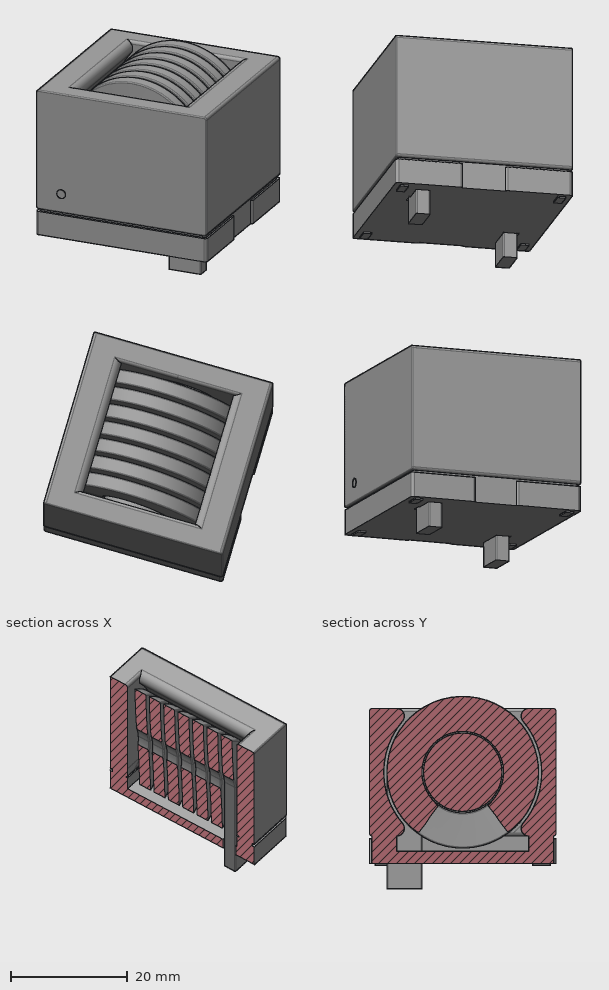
import cadquery as cq
import math


length_x = 32.0
length_y = 31.2

base_bottom_z = 4.3
base_top_z = 8.58
case_bottom_z = 9.0
case_top_z = 30.95
coil_axis_z = (case_bottom_z + case_top_z) / 2

case_edge_radius = 0.5
case_face_radius = 0.2
cavity_length = 23.5
lip_radius_x = 1.35
lip_radius_y = 0.55
cavity_radius = 13.53
marker_diameter = 1.62
marker_x = -11.32
marker_z = 12.45
marker_depth = 0.1

core_diameter = 13.5
coil_top_z = 33.0
coil_radius = coil_top_z - coil_axis_z
wire_width = 6.05
wire_thickness = 2.48
wire_corner_radius = 0.2
half_turns = 13
lead_spacing_y = 20.15
wire_centre_radius = coil_radius - wire_width / 2

base_corner_radius = 0.5
neck_inset_x = 0.35
neck_inset_y = 0.5
neck_corner_radius = 0.35
notch_width = 7.62
notch_edge_radius = 0.33

foot_x = 3.05
foot_y = 1.45
foot_height = 0.25
foot_spacing_x = 27.0
foot_spacing_y = 27.72

pocket_width = 22.57
slot_width = 2.0
slot_clearance = 0.23


def block(size_x, size_y, bottom_z, top_z):
    """Box centred on the Z axis between two levels."""
    height = top_z - bottom_z
    return cq.Workplane("XY", origin=(0, 0, bottom_z)).box(size_x, size_y, height, (True, True, False))


def cylinder_along_y(radius, span):
    """Cylinder on the coil axis, centred on Y."""
    return cq.Workplane("XZ", origin=(0, 0, coil_axis_z)).circle(radius).extrude(span / 2, both=True)


def lip_rounds(centre_half, radius, span, plane):
    """Pair of cylinders along the lips of two facing sides, touching the case top."""
    centre_z = case_top_z - radius
    return (
        cq.Workplane(plane)
        .pushPoints([(-centre_half, centre_z), (centre_half, centre_z)])
        .circle(radius)
        .extrude(span / 2, both=True)
    )


def make_opening():
    """Cutter for the top opening, with convex rounds on all four sides."""
    centre_height = case_top_z - lip_radius_x - coil_axis_z
    touch_radius = cavity_radius + lip_radius_x
    centre_x = math.sqrt(touch_radius**2 - centre_height**2)
    touch_ratio = cavity_radius / touch_radius
    touch_z = coil_axis_z + centre_height * touch_ratio
    centre_y = cavity_length / 2 + lip_radius_y

    touch_x = centre_x * touch_ratio
    round_level_z = case_top_z - lip_radius_x

    flare_x = (
        cq.Workplane("XZ")
        .moveTo(-touch_x, touch_z)
        .lineTo(touch_x, touch_z)
        .lineTo(centre_x, round_level_z)
        .lineTo(centre_x, case_top_z)
        .lineTo(-centre_x, case_top_z)
        .lineTo(-centre_x, round_level_z)
        .close()
        .extrude(length_y / 2, both=True)
        .cut(lip_rounds(centre_x, lip_radius_x, length_y, "XZ"))
    )

    flare_y = block(length_x, cavity_length, touch_z, case_top_z)
    flare_y = flare_y.union(block(length_x, 2 * centre_y, case_top_z - lip_radius_y, case_top_z))
    flare_y = flare_y.cut(lip_rounds(centre_y, lip_radius_y, length_x, "YZ"))

    return flare_x.intersect(flare_y)


def make_case():
    case = block(length_x, length_y, case_bottom_z, case_top_z)
    case = case.edges("|Y").fillet(case_edge_radius)
    case = case.faces("<Y or >Y").edges().fillet(case_face_radius)

    case = case.cut(cylinder_along_y(cavity_radius, cavity_length))
    opening = make_opening()
    case = case.cut(opening)
    case = case.cut(opening.mirror("XY", (0, 0, coil_axis_z)))

    marker = (
        cq.Workplane("XZ", origin=(marker_x, -length_y / 2, marker_z))
        .circle(marker_diameter / 2)
        .extrude(-marker_depth)
    )
    return case.cut(marker)


def make_wire_section():
    """Flat wire cross-section with rounded corners."""
    return cq.Sketch().rect(wire_width, wire_thickness).vertices().fillet(wire_corner_radius)


def make_half_turns():
    """Consecutive half turns of the winding, from the +Y end to the -Y end."""
    half_pitch = lead_spacing_y / half_turns
    path = cq.Wire.makeHelix(2 * half_pitch, half_pitch, wire_centre_radius, lefthand=True)
    half_turn = (
        cq.Workplane("XZ", origin=(wire_centre_radius, 0, 0))
        .placeSketch(make_wire_section())
        .sweep(cq.Workplane(path), isFrenet=True)
    )

    start = cq.Location(
        cq.Plane(origin=(0, lead_spacing_y / 2, coil_axis_z), xDir=(-1, 0, 0), normal=(0, -1, 0))
    )
    placed = []
    for index in range(half_turns):
        step = cq.Location(cq.Vector(0, 0, index * half_pitch), cq.Vector(0, 0, 1), 180 * index)
        placed.append(cq.Workplane(half_turn.val().moved(start * step)))
    return placed


def make_lead(side):
    """Straight wire end that runs down from the winding on the given X side."""
    return (
        cq.Workplane("XY", origin=(side * wire_centre_radius, -side * lead_spacing_y / 2, 0))
        .placeSketch(make_wire_section())
        .extrude(coil_axis_z)
    )


def make_coil():
    """One continuous wire of half turns and leads, which all meet in matching sections."""
    skin = []
    for half_turn in make_half_turns():
        skin += half_turn.faces("not %PLANE").vals()
    for side in (-1, 1):
        skin += make_lead(side).faces("not >Z").vals()
    return cq.Workplane(cq.Solid.makeSolid(cq.Shell.makeShell(skin)))


def make_base():
    neck = block(length_x - 2 * neck_inset_x, length_y - 2 * neck_inset_y, base_bottom_z, case_bottom_z)
    neck = neck.edges("|Z").fillet(neck_corner_radius)

    skirt = block(length_x, length_y, base_bottom_z, base_top_z)
    skirt = skirt.edges("|Z").fillet(base_corner_radius)
    for side in (-1, 1):
        notch = block(2 * neck_inset_x, notch_width, base_bottom_z, base_top_z)
        skirt = skirt.cut(notch.translate((side * length_x / 2, 0, 0)))
    notch_edges = cq.selectors.BoxSelector(
        (-length_x, -notch_width, 0), (length_x, notch_width, case_top_z)
    )
    skirt = skirt.edges("|Z").edges(notch_edges).edges("<X or >X").fillet(notch_edge_radius)

    feet = (
        cq.Workplane("XY", origin=(0, 0, base_bottom_z))
        .rect(foot_spacing_x, foot_spacing_y, forConstruction=True)
        .vertices()
        .rect(foot_x, foot_y)
        .extrude(-foot_height)
    )
    base = neck.union(skirt).union(feet)

    pocket_floor_z = coil_axis_z - cavity_radius
    base = base.cut(block(pocket_width, cavity_length, pocket_floor_z, case_bottom_z))

    slot_x = coil_radius - wire_width - slot_clearance + slot_width / 2
    slot_y = (lead_spacing_y + slot_clearance) / 2
    slot = block(slot_width, wire_thickness + slot_clearance, base_bottom_z, pocket_floor_z)
    for side in (-1, 1):
        base = base.cut(slot.translate((side * slot_x, -side * slot_y, 0)))
    return base


core_leg = cylinder_along_y(core_diameter / 2, cavity_length)

result = make_case().union(core_leg).union(make_base()).union(make_coil(), clean=False)